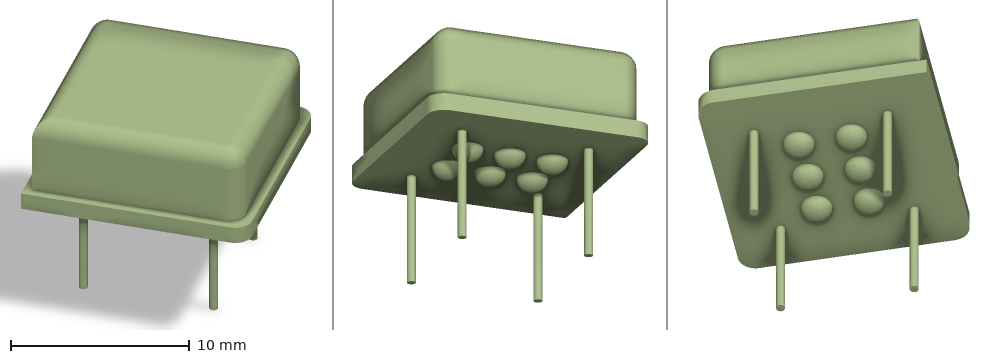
import cadquery as cq

base_side = 13.2
base_thickness = 1.0
base_corner_radius = 1.0

cover_margin = 0.5
cover_side = base_side - 2 * cover_margin
cover_height = 4.5
cover_radius = 1.0
fillet_margin = 0.001

pin_diameter = 0.5
pin_length = 6.35
pin_spacing = 7.62

bead_radius = 0.88
bead_depth = 0.79
bead_edge_radius = 0.78
bead_pitch_x = 2.55
bead_pitch_y = 3.0
bead_columns = 3
bead_rows = 2

base_bottom = pin_length
base_top = base_bottom + base_thickness
overlap = base_thickness / 2


def square_block(side, height, bottom, corner_radius):
    """Square block with every vertical edge rounded except the (-X, -Y) one."""
    block = cq.Workplane("XY").workplane(offset=bottom).rect(side, side).extrude(height)
    return block.edges("|Z and (>X or >Y)").fillet(corner_radius)


def make_base():
    return square_block(base_side, base_thickness, base_bottom, base_corner_radius)


def make_cover():
    cover = square_block(cover_side, cover_height, base_top, cover_radius)
    return cover.faces(">Z").edges().fillet(cover_radius - fillet_margin)


def make_pins():
    return (
        cq.Workplane("XY")
        .rect(pin_spacing, pin_spacing, forConstruction=True)
        .vertices()
        .circle(pin_diameter / 2)
        .extrude(pin_length + overlap)
    )


def make_beads():
    """Grid of round beads with heavily rounded lower rims."""
    return (
        cq.Workplane("XY")
        .workplane(offset=base_bottom - bead_depth)
        .rarray(bead_pitch_x, bead_pitch_y, bead_columns, bead_rows)
        .circle(bead_radius)
        .extrude(bead_depth + overlap)
        .faces("<Z")
        .edges()
        .fillet(bead_edge_radius)
    )


result = make_base().union(make_cover()).union(make_pins()).union(make_beads())